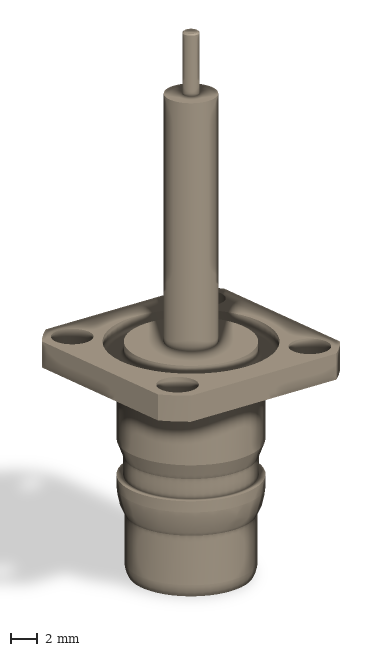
import cadquery as cq
import math

nose_round_top = 1.0
bead_bottom = 5.0
bead_arc_top = 7.1
bead_top = 8.0
neck_top = 9.6
cone_top = 10.9
flange_thickness = 2.1
flange_top = 18.7
flange_bottom = flange_top - flange_thickness
cable_length = 20.0
pin_length = 5.0

nose_radius = 5.0
nose_edge_arc_radius = 2.0
neck_radius = 5.1
body_radius = 5.6
cable_radius = 4.1 / 2
pin_radius = 1.3 / 2
pin_tip_chamfer = 0.1

flange_side = 17.5
corner_circle_diameter = 22.4
hole_diameter = 3.2
hole_spacing = 12.7

groove_outer_radius = 13.3 / 2
groove_inner_radius = 10.1 / 2
groove_depth = 1.0
groove_floor_fillet = 0.3


def tangent_arc_point(start_radius, arc_radius, drop):
    """Radius reached after a drop along an arc that leaves a cylinder tangentially."""
    return start_radius - arc_radius + math.sqrt(arc_radius**2 - drop**2)


def make_rod(radius, bottom, length):
    """Round rod standing on the axis."""
    return cq.Workplane("XY", origin=(0, 0, bottom)).circle(radius).extrude(length)


def make_body():
    """Turned body below the flange: nose, rounded bead, neck and shank."""
    tip_radius = tangent_arc_point(nose_radius, nose_edge_arc_radius, nose_round_top)
    bead_rise = bead_arc_top - bead_bottom
    bead_step = body_radius - nose_radius
    bead_arc_radius = (bead_rise**2 + bead_step**2) / (2 * bead_step)
    nose_mid = tangent_arc_point(nose_radius, nose_edge_arc_radius, nose_round_top / 2)
    bead_mid = tangent_arc_point(body_radius, bead_arc_radius, bead_rise / 2)
    return (
        cq.Workplane("XZ")
        .moveTo(0, 0)
        .lineTo(tip_radius, 0)
        .threePointArc((nose_mid, nose_round_top / 2), (nose_radius, nose_round_top))
        .lineTo(nose_radius, bead_bottom)
        .threePointArc((bead_mid, bead_bottom + bead_rise / 2), (body_radius, bead_arc_top))
        .lineTo(body_radius, bead_top)
        .lineTo(neck_radius, bead_top)
        .lineTo(neck_radius, neck_top)
        .lineTo(body_radius, cone_top)
        .lineTo(body_radius, flange_bottom)
        .lineTo(0, flange_bottom)
        .close()
        .revolve(360, (0, 0, 0), (0, 1, 0))
    )


def make_groove():
    """Ring removed from the flange, rounded where its walls meet the floor."""
    return (
        cq.Workplane("XY", origin=(0, 0, flange_top - groove_depth))
        .circle(groove_outer_radius)
        .circle(groove_inner_radius)
        .extrude(groove_depth)
        .faces("<Z")
        .edges()
        .fillet(groove_floor_fillet)
    )


def make_flange():
    """Square plate with corners turned to a circle, four through holes and the annular groove."""
    plate = (
        cq.Workplane("XY", origin=(0, 0, flange_bottom))
        .rect(flange_side, flange_side)
        .extrude(flange_thickness)
    )
    corner_disc = make_rod(corner_circle_diameter / 2, flange_bottom, flange_thickness)
    drilled = (
        plate.intersect(corner_disc)
        .faces(">Z")
        .workplane()
        .rect(hole_spacing, hole_spacing, forConstruction=True)
        .vertices()
        .hole(hole_diameter)
    )
    return drilled.cut(make_groove())


cable = make_rod(cable_radius, flange_top, cable_length)
pin = make_rod(pin_radius, flange_top + cable_length, pin_length).faces(">Z").chamfer(pin_tip_chamfer)
result = make_body().union(make_flange()).union(cable).union(pin)